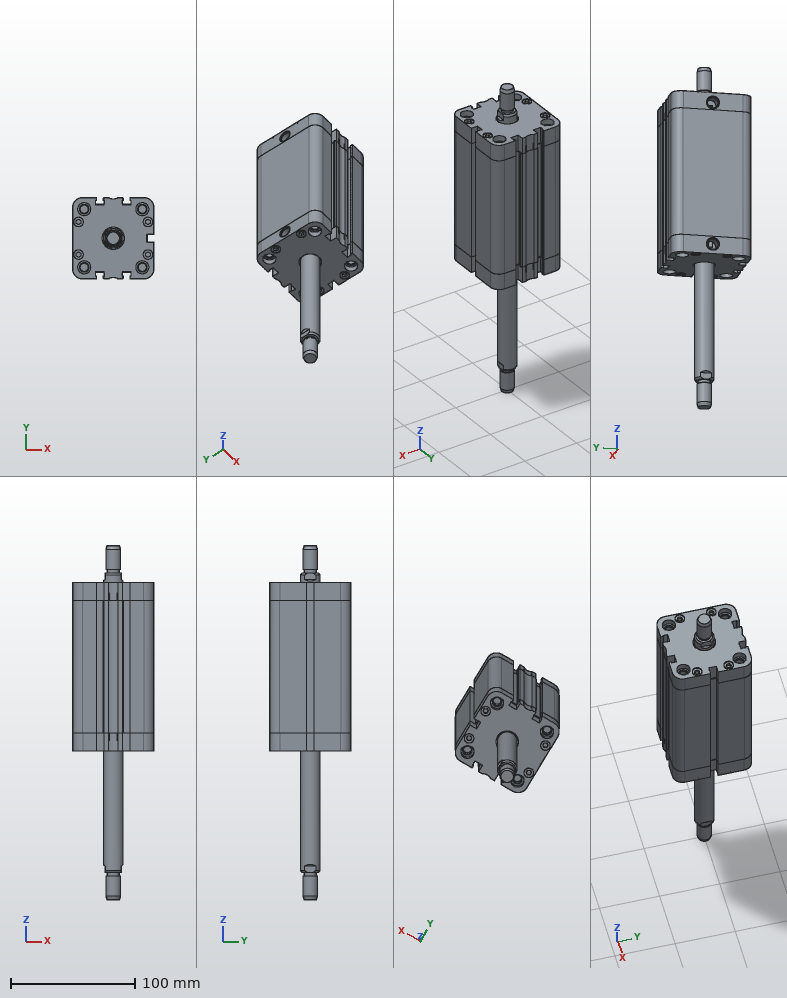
import cadquery as cq
import math


side = 65.5
half_side = side / 2
barrel_corner_radius = 8.0
cap_corner_radius = 8.3
housing_top = 113.0
housing_bottom = -22.8
cap_thickness = 14.5
barrel_top = housing_top - cap_thickness
barrel_bottom = housing_bottom + cap_thickness
barrel_length = barrel_top - barrel_bottom
bore_diameter = 50.0

slot_inner_wall = 7.5
slot_outer_wall = 13.5
slot_undercut = 0.9
slot_lip = 2.3
barrel_slot_depth = 5.0
cap_slot_depth = 6.0
x_slot_width = 6.3
groove_radius = 7.0
groove_depth = 1.0
shelf_depth = 0.43
shelf_height = 6.0

rod_length = 285.0
rod_end = rod_length / 2
rod_diameter = 16.0
shoulder_height = 120.5
shoulder_chamfer_width = 1.0
shoulder_chamfer_height = 1.7
neck_diameter = 10.0
neck_length = 2.5
thread_diameter = 12.0
tip_diameter = 10.0
tip_chamfer_height = 3.0
flat_width = 13.0
flat_end_height = 115.5

rod_seat_diameter = 18.0
rod_seat_depth = 1.7
mount_offset = 23.5
mount_diameter = 10.5
mount_depth = 5.0
mount_step_diameter = 7.7
mount_step_depth = 6.5
mount_core_diameter = 6.5
mount_core_depth = 11.5
screw_x = 28.0
screw_y = 13.0
screw_head_diameter = 7.7
screw_head_recess = 0.9
hex_width = 3.7
hex_depth = 2.3
port_from_joint = 6.3
port_rim_diameter = 10.5
port_diameter = 8.5
port_rim_depth = 1.0
port_depth = 9.0
passage_diameter = 3.5
passage_x = -23.0


def block(bottom, height, corner_radius):
    """Square bar with rounded vertical corners."""
    bar = cq.Workplane("XY", origin=(0, 0, bottom)).rect(side, side).extrude(height)
    return bar.edges("|Z").fillet(corner_radius)


def on_both_y_sides(cutter):
    return cutter.union(cutter.mirror("XZ"))


def y_slot(outline, bottom, height):
    """Prism of the outline, repeated at all four slots of the +Y and -Y sides."""
    slot = cq.Workplane("XY", origin=(0, 0, bottom)).polyline(outline).close().extrude(height)
    return on_both_y_sides(slot.union(slot.mirror("YZ")))


def slot_outline(depth):
    """Slot on the +Y side with a straight inner wall and an undercut outer wall."""
    lip_y = half_side - slot_lip
    floor_y = half_side - depth
    return [
        (slot_inner_wall, half_side),
        (slot_inner_wall, floor_y),
        (slot_outer_wall + slot_undercut, floor_y),
        (slot_outer_wall + slot_undercut, lip_y),
        (slot_outer_wall, lip_y),
        (slot_outer_wall, half_side),
    ]


def lipped_slot_outline(depth):
    """The same slot, with a chamfered lip that narrows its mouth on the inner side."""
    mouth, *straight_slot = slot_outline(depth)
    lip_y = half_side - slot_lip
    lip_edge_x = slot_inner_wall + slot_undercut
    lip = [(lip_edge_x, half_side - slot_undercut), (lip_edge_x, lip_y), (slot_inner_wall, lip_y)]
    return [mouth, *lip, *straight_slot]


def x_slot(depth, bottom, height):
    """Rectangular slot along the middle of the +X side."""
    slot = cq.Workplane("XY", origin=(half_side - depth / 2, 0, bottom))
    return slot.rect(depth, x_slot_width).extrude(height)


def round_groove(bottom, height):
    """Round-bottomed groove along the middle of the +Y and -Y sides."""
    axis_y = half_side + groove_radius - groove_depth
    groove = cq.Workplane("XY", origin=(0, axis_y, bottom)).circle(groove_radius).extrude(height)
    return on_both_y_sides(groove)


def groove_shelves():
    """Shallow relief that turns the flanks of the cap groove into ledges next to the barrel."""
    centre_offset = groove_radius - groove_depth
    groove_width = 2 * math.sqrt(groove_radius**2 - centre_offset**2)
    relief = cq.Workplane("XY", origin=(0, half_side - shelf_depth / 2, barrel_top))
    return on_both_y_sides(relief.rect(groove_width, shelf_depth).extrude(shelf_height))


def make_barrel():
    barrel = block(barrel_bottom, barrel_length, barrel_corner_radius)
    barrel = barrel.cut(y_slot(lipped_slot_outline(barrel_slot_depth), barrel_bottom, barrel_length))
    barrel = barrel.cut(x_slot(barrel_slot_depth, barrel_bottom, barrel_length))
    barrel = barrel.cut(round_groove(barrel_bottom, barrel_length))
    bore = cq.Workplane("XY", origin=(0, 0, barrel_bottom)).circle(bore_diameter / 2).extrude(barrel_length)
    return barrel.cut(bore)


def face_holes(points, diameter, depth):
    """Round holes sunk from the outer face of the top cap."""
    holes = cq.Workplane("XY", origin=(0, 0, housing_top)).pushPoints(points)
    return holes.circle(diameter / 2).extrude(-depth)


def hex_sockets(points, depth):
    """Hexagonal sockets with corners toward +Y and -Y."""
    corner_reach = hex_width / math.sqrt(3)
    corner_angles = [math.radians(90 + 60 * i) for i in range(6)]
    hexagon = [(corner_reach * math.cos(a), corner_reach * math.sin(a)) for a in corner_angles]
    socket = cq.Workplane("XY", origin=(0, 0, housing_top)).polyline(hexagon).close().extrude(-depth)
    sockets = cq.Workplane("XY")
    for x, y in points:
        sockets = sockets.union(socket.translate((x, y, 0)))
    return sockets


def port():
    """Air port in the -X side, with a passage from its floor down to the barrel bore."""
    axis_z = barrel_top + port_from_joint
    plane = cq.Workplane("YZ", origin=(-half_side, 0, axis_z))
    hole = plane.circle(port_diameter / 2).extrude(port_depth)
    rim = plane.circle(port_rim_diameter / 2).extrude(port_rim_depth)
    passage = cq.Workplane("XY", origin=(passage_x, 0, barrel_top)).circle(passage_diameter / 2)
    return hole.union(rim).union(passage.extrude(port_from_joint))


def make_top_cap():
    mount_points = [(x, y) for x in (-mount_offset, mount_offset) for y in (-mount_offset, mount_offset)]
    screw_points = [(x, y) for x in (-screw_x, screw_x) for y in (-screw_y, screw_y)]
    cap = block(barrel_top, cap_thickness, cap_corner_radius)
    cap = cap.cut(y_slot(slot_outline(cap_slot_depth), barrel_top, cap_thickness))
    cap = cap.cut(x_slot(cap_slot_depth, barrel_top, cap_thickness))
    cap = cap.cut(round_groove(barrel_top, cap_thickness))
    cap = cap.cut(groove_shelves())
    cap = cap.cut(face_holes([(0, 0)], rod_diameter, cap_thickness))
    cap = cap.cut(face_holes([(0, 0)], rod_seat_diameter, rod_seat_depth))
    cap = cap.cut(face_holes(mount_points, mount_diameter, mount_depth))
    cap = cap.cut(face_holes(mount_points, mount_step_diameter, mount_step_depth))
    cap = cap.cut(face_holes(mount_points, mount_core_diameter, mount_core_depth))
    cap = cap.cut(face_holes(screw_points, screw_head_diameter, screw_head_recess))
    cap = cap.cut(hex_sockets(screw_points, screw_head_recess + hex_depth))
    return cap.cut(port())


def make_bottom_cap(top_cap):
    """The bottom cap is the top cap reflected about the middle of the housing."""
    return top_cap.mirror("XY", (0, 0, (housing_top + housing_bottom) / 2))


def wrench_flat():
    """Material beside the +X wrench flat, ending in a 45 degree run-out below."""
    flat_x = flat_width / 2
    reach = rod_diameter / 2
    outline = [
        (flat_x, shoulder_height),
        (flat_x, flat_end_height),
        (flat_x + reach, flat_end_height - reach),
        (flat_x + reach, shoulder_height),
    ]
    return cq.Workplane("XZ").polyline(outline).close().extrude(rod_diameter, both=True)


def make_rod():
    radius = rod_diameter / 2
    upper_profile = [
        (radius, shoulder_height - shoulder_chamfer_height),
        (radius - shoulder_chamfer_width, shoulder_height),
        (neck_diameter / 2, shoulder_height),
        (neck_diameter / 2, shoulder_height + neck_length),
        (thread_diameter / 2, shoulder_height + neck_length),
        (thread_diameter / 2, rod_end - tip_chamfer_height),
        (tip_diameter / 2, rod_end),
        (0, rod_end),
    ]
    lower_profile = [(r, -z) for r, z in reversed(upper_profile)]
    profile = cq.Workplane("XZ").polyline(lower_profile + upper_profile).close()
    rod = profile.revolve(360, (0, 0, 0), (0, 1, 0))
    upper_flat = wrench_flat()
    for flat in (upper_flat, upper_flat.mirror("XY")):
        rod = rod.cut(flat).cut(flat.mirror("YZ"))
    return rod


barrel = make_barrel()
top_cap = make_top_cap()
bottom_cap = make_bottom_cap(top_cap)
rod = make_rod()

result = cq.Compound.makeCompound([barrel.val(), top_cap.val(), bottom_cap.val(), rod.val()])